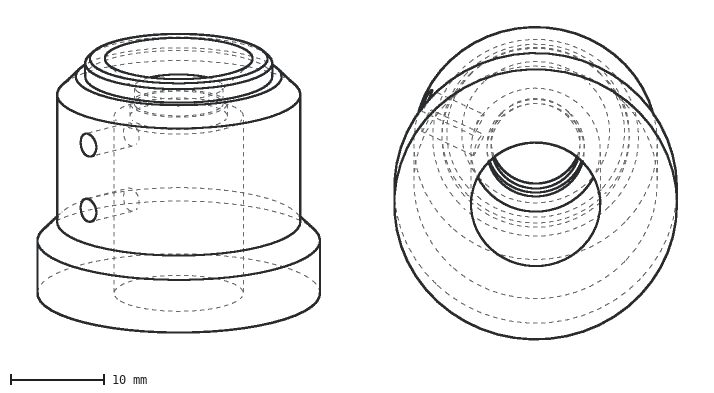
import cadquery as cq

base_diameter = 30.2
body_diameter = 26.0
body_top_diameter = 22.0
neck_diameter = 20.0
neck_chamfer = 0.5

total_height = 26.1
base_height = 5.87
shoulder_top = base_height + (base_diameter - body_diameter) / 2
body_top = 22.1
neck_bottom = 24.1

throat_diameter = 9.5
throat_relief_diameter = 10.4
chamber_diameter = 13.8
throat_bottom = 21.1
chamber_top = 19.7

mouth_diameter = 15.8
mouth_depth = (mouth_diameter - throat_diameter) / 2

side_hole_diameter = 2.5
side_hole_heights = (11.75, 19.0)


def cylinder(diameter, bottom, top):
    return cq.Workplane("XY").workplane(offset=bottom).circle(diameter / 2).extrude(top - bottom)


def make_body():
    neck_radius = neck_diameter / 2
    return (
        cq.Workplane("XZ")
        .lineTo(base_diameter / 2, 0)
        .lineTo(base_diameter / 2, base_height)
        .lineTo(body_diameter / 2, shoulder_top)
        .lineTo(body_diameter / 2, body_top)
        .lineTo(body_top_diameter / 2, neck_bottom)
        .lineTo(neck_radius, neck_bottom)
        .lineTo(neck_radius, total_height - neck_chamfer)
        .lineTo(neck_radius - neck_chamfer, total_height)
        .lineTo(0, total_height)
        .close()
        .revolve(360, (0, 0, 0), (0, 1, 0))
    )


def make_mouth():
    return (
        cq.Workplane("XY")
        .workplane(offset=total_height - mouth_depth)
        .circle(throat_diameter / 2)
        .workplane(offset=mouth_depth)
        .circle(mouth_diameter / 2)
        .loft(ruled=True)
    )


def cut_bore(part):
    part = part.cut(cylinder(throat_diameter, 0, total_height))
    part = part.cut(make_mouth())
    part = part.cut(cylinder(throat_relief_diameter, 0, throat_bottom))
    return part.cut(cylinder(chamber_diameter, 0, chamber_top))


def cut_side_holes(part):
    core = cylinder(chamber_diameter, 0, total_height)
    for height in side_hole_heights:
        hole = (
            cq.Workplane("XZ")
            .center(0, height)
            .circle(side_hole_diameter / 2)
            .extrude(body_diameter / 2)
        )
        part = part.cut(hole.cut(core))
    return part


result = cut_side_holes(cut_bore(make_body()))